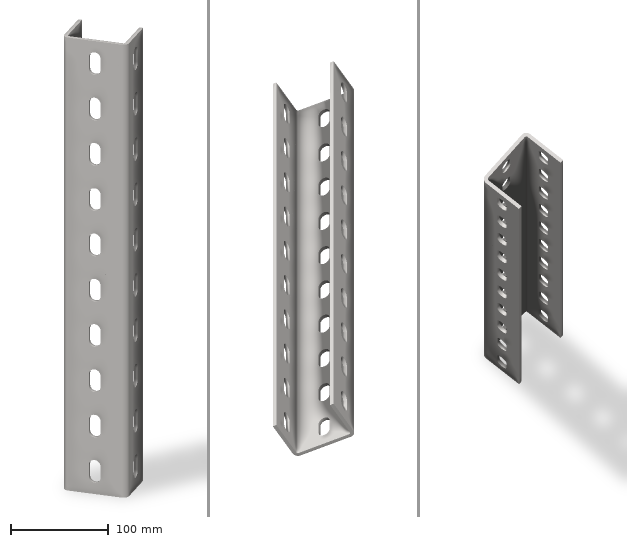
import cadquery as cq

length = 500.0
width = 70.0
depth = 50.0
thickness = 4.0
inner_bend_radius = 2.0
outer_bend_radius = inner_bend_radius + thickness

slot_length = 25.0
slot_width = 12.5
slot_pitch = 50.0
slot_count = round(length / slot_pitch)
flange_slot_setback = 23.0

web_face_y = -depth / 2
open_edge_y = depth / 2
flange_slot_y = open_edge_y - flange_slot_setback


def bent_channel():
    """U channel along Z, open toward +Y, with rounded bends."""
    outer = cq.Workplane("XY").box(width, depth, length)
    outer = outer.edges("|Z and <Y").fillet(outer_bend_radius)
    inner = (
        cq.Workplane("XY")
        .box(width - 2 * thickness, depth, length)
        .edges("|Z and <Y")
        .fillet(inner_bend_radius)
        .translate((0, thickness, 0))
    )
    return outer.cut(inner)


def slot_row(plane, across):
    """Row of upright slot cutters on a plane whose second axis is Z."""
    row_start = -(slot_count - 1) * slot_pitch / 2
    centers = [(across, row_start + i * slot_pitch) for i in range(slot_count)]
    return cq.Workplane(plane).pushPoints(centers).slot2D(slot_length, slot_width, 90)


web_slots = slot_row("XZ", 0).extrude(-web_face_y)
flange_slots = slot_row("YZ", flange_slot_y).extrude(width / 2, both=True)

result = bent_channel().cut(web_slots).cut(flange_slots)